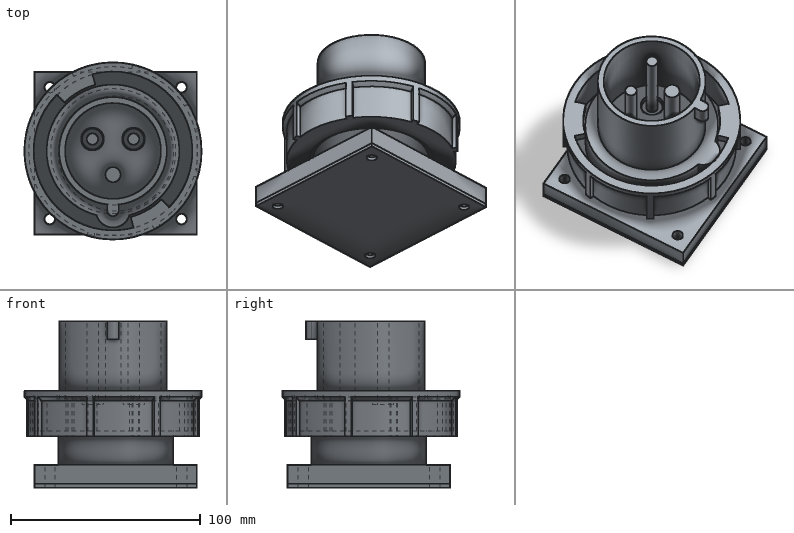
import cadquery as cq
import math

base_side = 85.8
base_top = 12.0
base_offset = (1.4, -1.2)
gasket_thickness = 2.0
screw_hole_diameter = 5.5
screw_hole_spacing = 69.5
neck_radius = 30.4

total_height = 87.9
shoulder_radius = 35.0
shoulder_top = 46.1
sleeve_radius = 28.4
sleeve_bore_radius = 25.3
key_width = 6.0
key_height = 9.7
key_reach = 34.4
lobe_radius = 9.0
pin_circle_radius = 12.5
live_pin_angles = (30, 150)
live_pin_diameter = 6.0
earth_pin_angle = 270
earth_pin_diameter = 8.0
recess_diameter = 12.0
recess_depth = 2.0
recess_floor_inset = 0.5

ring_radius = 46.75
ring_bottom = 27.1
ring_top = 51.2
ring_floor_thickness = 3.0
ring_floor_hole_radius = 33.0
ring_cavity_radius = 41.9
lip_height = 3.2
panel_depth = 2.15
rib_count = 8
rib_width = 3.6
rib_start_angle = 30
tab_inner_radius = 36.1
tab_thickness = 4.3
tab_span = 30
tab_start_angles = (105, 285)

key_tip_y = -(key_reach - key_width / 2)
ring_floor_top = ring_bottom + ring_floor_thickness
panel_radius = ring_radius - panel_depth
sleeve_floor = shoulder_top
recess_taper = math.degrees(math.atan2(recess_floor_inset, recess_depth))


def disc(radius, bottom, top, center=(0, 0)):
    """Upright cylinder between two heights."""
    return cq.Workplane("XY", origin=(*center, bottom)).circle(radius).extrude(top - bottom)


def polar_point(radius, angle):
    """Point at a radius and an angle in degrees from +X."""
    return radius * math.cos(math.radians(angle)), radius * math.sin(math.radians(angle))


def base_slab(bottom, top):
    """Square slab of the base with its four screw holes."""
    slab = cq.Workplane("XY", origin=(*base_offset, bottom)).rect(base_side, base_side).extrude(top - bottom)
    holes = (
        cq.Workplane("XY", origin=(*base_offset, bottom))
        .rect(screw_hole_spacing, screw_hole_spacing, forConstruction=True)
        .vertices()
        .circle(screw_hole_diameter / 2)
        .extrude(top - bottom)
    )
    return slab.cut(holes)


def make_gasket():
    """Flat gasket under the base."""
    return base_slab(0, gasket_thickness)


def make_key():
    """Round-ended guide key at the mouth of the sleeve."""
    bottom = total_height - key_height
    web_start = (-key_width / 2, key_tip_y)
    web = (
        cq.Workplane("XY", origin=(*web_start, bottom))
        .rect(key_width, -key_tip_y, centered=False)
        .extrude(key_height)
    )
    return web.union(disc(key_width / 2, bottom, total_height, (0, key_tip_y)))


def pin_recess(center):
    """Round recess around a live pin, narrowing slightly toward its floor."""
    return (
        cq.Workplane("XY", origin=(*center, sleeve_floor))
        .circle(recess_diameter / 2)
        .extrude(-recess_depth, taper=recess_taper)
    )


def make_housing():
    """Base, neck, shoulder, sleeve and contact pins as one body."""
    body = base_slab(gasket_thickness, base_top)
    body = body.union(disc(neck_radius, base_top, ring_floor_top, base_offset))
    body = body.union(disc(shoulder_radius, ring_floor_top, shoulder_top))
    body = body.union(disc(lobe_radius, ring_floor_top, shoulder_top, (0, key_tip_y)))
    body = body.union(disc(sleeve_radius, shoulder_top, total_height))
    body = body.union(make_key())
    body = body.cut(disc(sleeve_bore_radius, sleeve_floor, total_height))
    for angle in live_pin_angles:
        center = polar_point(pin_circle_radius, angle)
        body = body.cut(pin_recess(center))
        body = body.union(disc(live_pin_diameter / 2, sleeve_floor - recess_depth, total_height, center))
    earth_center = polar_point(pin_circle_radius, earth_pin_angle)
    return body.union(disc(earth_pin_diameter / 2, sleeve_floor, total_height, earth_center))


def ring_shell():
    """Revolved wall of the ring: lip, sloped underside and plain panel."""
    lip_bottom = ring_top - lip_height
    outline = [
        (0, ring_bottom),
        (panel_radius, ring_bottom),
        (panel_radius, lip_bottom - panel_depth),
        (ring_radius, lip_bottom),
        (ring_radius, ring_top),
        (0, ring_top),
    ]
    return cq.Workplane("XZ").polyline(outline).close().revolve(360, (0, 0), (0, 1))


def ring_ribs():
    """Grip ribs that fill out the panels to the full ring radius."""
    ribs = cq.Workplane("XY")
    for index in range(rib_count):
        angle = rib_start_angle + index * 360 / rib_count
        rib = (
            cq.Workplane("XY", origin=(0, -rib_width / 2, ring_bottom))
            .moveTo(ring_cavity_radius, 0)
            .rect(ring_radius + panel_depth - ring_cavity_radius, rib_width, centered=False)
            .extrude(ring_top - ring_bottom)
            .rotate((0, 0, 0), (0, 0, 1), angle)
        )
        ribs = ribs.add(rib)
    return ribs.combine().intersect(disc(ring_radius, ring_bottom, ring_top))


def bayonet_tab(start_angle):
    """Inward tab at the mouth of the ring, with radial ends."""
    middle_angle = start_angle + tab_span / 2
    end_angle = start_angle + tab_span
    return (
        cq.Workplane("XY", origin=(0, 0, ring_top - tab_thickness))
        .moveTo(*polar_point(tab_inner_radius, start_angle))
        .lineTo(*polar_point(panel_radius, start_angle))
        .threePointArc(polar_point(panel_radius, middle_angle), polar_point(panel_radius, end_angle))
        .lineTo(*polar_point(tab_inner_radius, end_angle))
        .threePointArc(polar_point(tab_inner_radius, middle_angle), polar_point(tab_inner_radius, start_angle))
        .close()
        .extrude(tab_thickness)
    )


def make_ring():
    """Bayonet coupling ring held under the shoulder by its floor."""
    ring = ring_shell().union(ring_ribs())
    ring = ring.cut(disc(ring_cavity_radius, ring_floor_top, ring_top))
    ring = ring.cut(disc(ring_floor_hole_radius, ring_bottom, ring_floor_top))
    for start_angle in tab_start_angles:
        ring = ring.union(bayonet_tab(start_angle))
    return ring


gasket = make_gasket()
housing = make_housing()
ring = make_ring()
result = cq.Compound.makeCompound([gasket.val(), housing.val(), ring.val()])